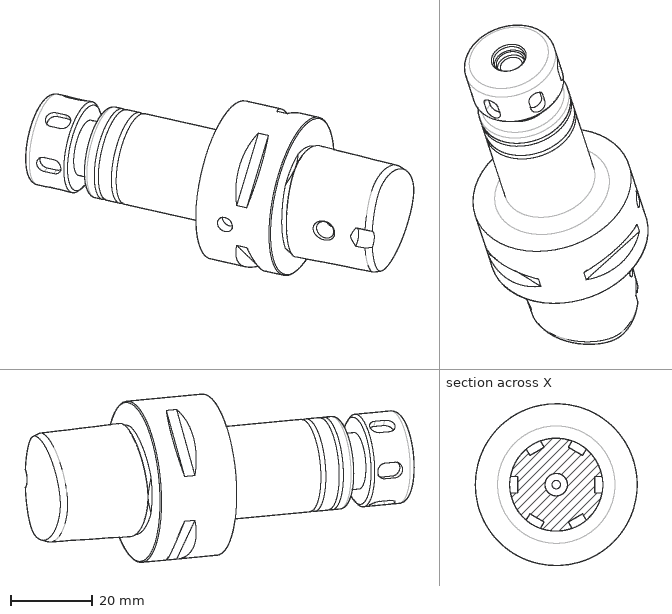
import cadquery as cq
import math


nut_end = 11.5
body_start = 16.0
flange_start = 50.0
flange_end = 70.0
taper_start = 71.4
tool_end = 94.0

body_radius = 23.0 / 2
neck_radius = 14.0 / 2
flange_radius = 40.0 / 2
nut_front_fillet = 1.5
nut_rear_chamfer = 0.7
body_front_fillet = 1.0
flange_fillet = 3.0
flange_rear_chamfer = 0.3

body_grooves = [(19.0, 1.1), (23.6, 1.3)]
groove_depth = 0.25

taper_radius = 14.05
lobe_height = 0.87
taper_slope = 0.025
undercut_depth = 0.4
undercut_cone_small_radius = 13.9
undercut_cone_large_radius = 14.6
end_chamfer_length = 1.7
end_chamfer_depth = 0.6

shank_cone_angle = 60.0
nut_mouth_diameter = 8.79
nut_bore_diameter = 8.0
nut_bore_depth = 1.7
collet_bore_diameter = 7.0
collet_bore_depth = 3.0
shank_bore_diameter = 5.5
shank_bore_depth = 12.0
centre_bore_diameter = 2.1
centre_bore_depth = 18.0

slot_count = 6
slot_width = 4.0
slot_length = 6.5
slot_centre = 6.75
slot_floor_radius = 9.5

notch_count = 4
notch_centre = 62.0
notch_floor_width = 2.7
notch_floor_radius = 17.6
notch_flank_angle = 30.0

flange_hole_x = 57.85
flange_hole_diameter = 4.0
flange_hole_depth = 3.0
taper_hole_x = 81.5
taper_hole_diameter = 4.6
taper_hole_mouth = 5.75
taper_hole_depth = 6.0
end_notch_diameter = 5.5
end_notch_depth = 4.2
end_notch_offset = 13.4

drill_point_angle = 118.0
cut_clearance = 1.0
curve_samples = 72


def point_length(diameter):
    """Length of the conical point left by a drill."""
    return diameter / 2 / math.tan(math.radians(drill_point_angle / 2))


def revolve_about_x(outline):
    return outline.close().revolve(360, (0, 0, 0), (1, 0, 0))


def turned_body():
    fillet_start = flange_start - flange_fillet
    outline = (
        cq.Workplane("XY")
        .lineTo(0, body_radius - nut_front_fillet)
        .radiusArc((nut_front_fillet, body_radius), nut_front_fillet)
        .lineTo(nut_end - nut_rear_chamfer, body_radius)
        .lineTo(nut_end, body_radius - nut_rear_chamfer)
        .lineTo(nut_end, neck_radius)
        .lineTo(body_start, neck_radius)
        .lineTo(body_start, body_radius - body_front_fillet)
        .radiusArc((body_start + body_front_fillet, body_radius), body_front_fillet)
        .lineTo(fillet_start, body_radius)
        .radiusArc((flange_start, body_radius + flange_fillet), -flange_fillet)
        .lineTo(flange_start, flange_radius)
        .lineTo(flange_end - flange_rear_chamfer, flange_radius)
        .lineTo(flange_end, flange_radius - flange_rear_chamfer)
        .lineTo(flange_end, 0)
    )
    return revolve_about_x(outline)


def body_groove(start, width):
    outline = (
        cq.Workplane("XY")
        .moveTo(start, body_radius)
        .threePointArc((start + width / 2, body_radius - groove_depth), (start + width, body_radius))
    )
    return revolve_about_x(outline)


def polygon_wire(x, inset):
    """Three-lobed section at station x, shrunk all round by inset; starts at -Y."""
    radius = taper_radius - inset

    def point(t):
        angle = 2 * math.pi * t - math.pi / 2
        support = radius - lobe_height * math.sin(3 * angle)
        support_rate = -3 * lobe_height * math.cos(3 * angle)
        y = support * math.sin(angle) + support_rate * math.cos(angle)
        z = support * math.cos(angle) - support_rate * math.sin(angle)
        return (x, y, z)

    return cq.Workplane("XY").parametricCurve(point, N=curve_samples).val()


def polygon_section(x0, inset0, x1, inset1):
    return cq.Workplane(cq.Solid.makeLoft([polygon_wire(x0, inset0), polygon_wire(x1, inset1)], True))


def taper_shank():
    chamfer_start = tool_end - end_chamfer_length
    chamfer_inset = taper_slope * (chamfer_start - taper_start)
    end_inset = chamfer_inset + end_chamfer_depth
    undercut = polygon_section(flange_end, undercut_depth, taper_start, undercut_depth)
    lobe_cone = revolve_about_x(
        cq.Workplane("XY")
        .moveTo(flange_end, 0)
        .lineTo(flange_end, undercut_cone_small_radius)
        .lineTo(taper_start, undercut_cone_large_radius)
        .lineTo(taper_start, 0)
    )
    undercut = undercut.intersect(lobe_cone)
    taper = polygon_section(taper_start, 0, chamfer_start, chamfer_inset)
    tip = polygon_section(chamfer_start, chamfer_inset, tool_end, end_inset)
    return undercut.union(taper).union(tip)


def collet_bore():
    nut_mouth_chamfer = (nut_mouth_diameter - nut_bore_diameter) / 2
    cone_step = (shank_bore_diameter - centre_bore_diameter) / 2
    cone_length = cone_step / math.tan(math.radians(shank_cone_angle / 2))
    outline = (
        cq.Workplane("XY")
        .lineTo(0, nut_mouth_diameter / 2)
        .lineTo(nut_mouth_chamfer, nut_bore_diameter / 2)
        .lineTo(nut_bore_depth, nut_bore_diameter / 2)
        .lineTo(nut_bore_depth, collet_bore_diameter / 2)
        .lineTo(collet_bore_depth, collet_bore_diameter / 2)
        .lineTo(collet_bore_depth, shank_bore_diameter / 2)
        .lineTo(shank_bore_depth, shank_bore_diameter / 2)
        .lineTo(shank_bore_depth + cone_length, centre_bore_diameter / 2)
        .lineTo(centre_bore_depth, centre_bore_diameter / 2)
        .lineTo(centre_bore_depth, 0)
    )
    return revolve_about_x(outline)


def wrench_slot():
    """Slot cutter for the -Y side of the nut."""
    return (
        cq.Workplane("XZ", origin=(slot_centre, -slot_floor_radius, 0))
        .slot2D(slot_length, slot_width)
        .extrude(body_radius)
    )


def gripper_notch():
    """Flat-floored tangential notch cutter for the -Y side of the flange."""
    height = flange_radius + cut_clearance - notch_floor_radius
    half_floor = notch_floor_width / 2
    half_mouth = half_floor + height * math.tan(math.radians(notch_flank_angle))
    return (
        cq.Workplane("XY", origin=(notch_centre, -notch_floor_radius, 0))
        .polyline([(-half_floor, 0), (half_floor, 0), (half_mouth, -height), (-half_mouth, -height)])
        .close()
        .extrude(flange_radius, both=True)
    )


def drill(diameter, depth, start, direction):
    """Cutter entering at start along +Y or -X: a cylinder of the given depth with a conical point."""
    tip = depth + point_length(diameter)
    cutter = (
        cq.Workplane("XY")
        .lineTo(diameter / 2, 0)
        .lineTo(diameter / 2, depth)
        .lineTo(0, tip)
        .close()
        .revolve(360, (0, 0, 0), (0, 1, 0))
    )
    if direction == "-X":
        cutter = cutter.rotate((0, 0, 0), (0, 0, 1), 90)
    return cutter.translate(start)


def taper_hole():
    """Countersunk drilled hole cutter on the -Y flat of the taper."""
    surface_y = -(taper_radius - lobe_height - taper_slope * (taper_hole_x - taper_start))
    chamfer = (taper_hole_mouth - taper_hole_diameter) / 2
    hole = drill(taper_hole_diameter, taper_hole_depth, (0, 0, 0), "+Y")
    countersink = (
        cq.Workplane("XY")
        .moveTo(0, -chamfer)
        .lineTo(taper_hole_mouth / 2 + chamfer, -chamfer)
        .lineTo(taper_hole_diameter / 2, chamfer)
        .lineTo(0, chamfer)
        .close()
        .revolve(360, (0, 0, 0), (0, 1, 0))
    )
    return hole.union(countersink).translate((taper_hole_x, surface_y, 0))


result = turned_body().union(taper_shank())

for groove_start, groove_width in body_grooves:
    result = result.cut(body_groove(groove_start, groove_width))

result = result.cut(collet_bore())

for i in range(slot_count):
    result = result.cut(wrench_slot().rotate((0, 0, 0), (1, 0, 0), i * 360 / slot_count))

for i in range(notch_count):
    result = result.cut(gripper_notch().rotate((0, 0, 0), (1, 0, 0), (i + 0.5) * 360 / notch_count))

result = result.cut(
    drill(flange_hole_diameter, flange_hole_depth, (flange_hole_x, -flange_radius, 0), "+Y")
)
result = result.cut(taper_hole())
result = result.cut(
    drill(end_notch_diameter, end_notch_depth, (tool_end, -end_notch_offset, 0), "-X")
)